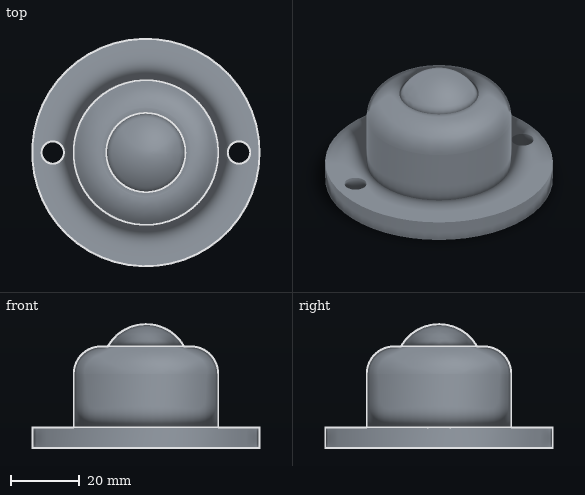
import cadquery as cq

flange_diameter = 66.0
flange_thickness = 6.0
screw_hole_diameter = 6.4
screw_hole_spacing = 54.0

cup_diameter = 42.0
cup_top = 29.5
shoulder_radius = 8.0
mouth_diameter = 23.0

overall_height = 36.0
ball_diameter = 25.4
ball_center_height = overall_height - ball_diameter / 2


def make_ball():
    return cq.Workplane("XY").sphere(ball_diameter / 2).translate((0, 0, ball_center_height))


def make_housing():
    flange = cq.Workplane("XY").circle(flange_diameter / 2).extrude(flange_thickness)
    cup = (
        cq.Workplane("XY")
        .circle(cup_diameter / 2)
        .extrude(cup_top)
        .faces(">Z")
        .edges()
        .fillet(shoulder_radius)
    )
    screw_holes = (
        cq.Workplane("XY")
        .pushPoints([(-screw_hole_spacing / 2, 0), (screw_hole_spacing / 2, 0)])
        .circle(screw_hole_diameter / 2)
        .extrude(flange_thickness)
    )
    mouth = (
        cq.Workplane("XY")
        .workplane(offset=ball_center_height)
        .circle(mouth_diameter / 2)
        .extrude(cup_top - ball_center_height)
    )
    return flange.union(cup).cut(screw_holes).cut(mouth).cut(make_ball())


housing = make_housing().solids()
ball = make_ball()

result = cq.Compound.makeCompound([housing.val(), ball.val()])